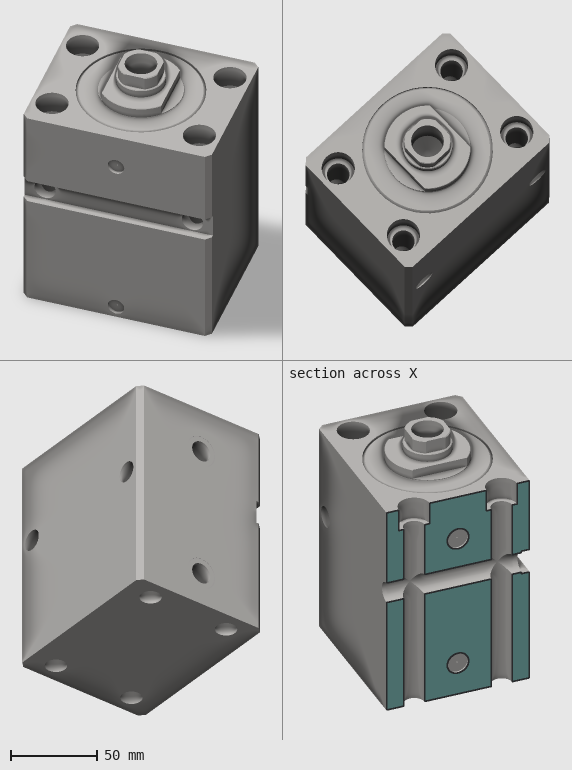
import cadquery as cq

TOTAL_HEIGHT = 154.9
BLOCK_X = 115.0
BLOCK_Y = 90.0
BLOCK_Z = 134.8
CORNER_CHAMFER = 3.3

MOUNT_SPACING_X = 90.0
MOUNT_SPACING_Y = 55.0
MOUNT_DIAMETER = 13.0
MOUNT_BORE_DIAMETER = 19.2
MOUNT_BORE_DEPTH = 14.0

SLOT_WIDTH = 15.0
SLOT_DEPTH = 5.0
SLOT_Z = 80.1
CROSS_HOLE_DIAMETER = 13.0

SIDE_PORT_LEVELS = (21.2, 106.0)
SIDE_PORT_DIAMETER = 13.2
SIDE_PORT_DEPTH = 14.0
SPOTFACE_DIAMETER = 20.0
SPOTFACE_DEPTH = 0.2

FRONT_PORT_LEVELS = (7.5, 112.8)
FRONT_PORT_DIAMETER = 10.0
FRONT_PORT_DEPTH = 2.0

PASSAGE_DIAMETER = 1.0
PASSAGE_LENGTH = 3.1

GLAND_DIAMETER = 75.6
GLAND_DEPTH = 31.0
GLAND_CHAMFER = 1.5
LIP_HEIGHT = 0.5

ROD_DIAMETER = 49.9
COLLAR_BASE_HEIGHT = 1.0
COLLAR_TOP_Z = 141.6
COLLAR_FLATS_WIDTH = 36.2
COLLAR_CHAMFER = 0.3
NECK_DIAMETER = 28.8
NECK_TOP_Z = 146.7
NECK_CHAMFER = 0.5
HEAD_DIAMETER = 27.0
HEAD_SQUARE = 24.0
HEAD_CHAMFER = 0.5
ROD_BORE_DIAMETER = 18.9
ROD_BORE_DEPTH = 23.2
DRILL_TIP_HEIGHT = 5.4


def cylinder_z(diameter, bottom, top):
    """Upright cylinder on the Z axis between two heights."""
    return cq.Workplane("XY", origin=(0, 0, bottom)).circle(diameter / 2).extrude(top - bottom)


def port(face_plane, levels, diameter, depth):
    """Flat-bottomed ports, each with a fine oil passage; the plane's normal points out of the block."""
    centres = [(0, level) for level in levels]
    bores = face_plane.pushPoints(centres).circle(diameter / 2).extrude(-depth)
    passages = face_plane.pushPoints(centres).circle(PASSAGE_DIAMETER / 2).extrude(-depth - PASSAGE_LENGTH)
    return bores.union(passages)


def make_housing():
    block = cq.Workplane("XY").box(BLOCK_X, BLOCK_Y, BLOCK_Z, centered=(True, True, False))
    block = block.edges("|Z").chamfer(CORNER_CHAMFER)

    block = (
        block.faces(">Z").workplane(origin=(0, 0, BLOCK_Z))
        .rarray(MOUNT_SPACING_X, MOUNT_SPACING_Y, 2, 2)
        .cboreHole(MOUNT_DIAMETER, MOUNT_BORE_DIAMETER, MOUNT_BORE_DEPTH)
    )

    front_face = cq.Workplane("XZ", origin=(0, -BLOCK_Y / 2, 0))
    slot = front_face.center(0, SLOT_Z).rect(BLOCK_X, SLOT_WIDTH).extrude(-SLOT_DEPTH)
    cross_holes = (
        front_face.center(0, SLOT_Z)
        .rarray(MOUNT_SPACING_X, 1.5, 2, 1)
        .circle(CROSS_HOLE_DIAMETER / 2)
        .extrude(-BLOCK_Y)
    )
    block = block.cut(slot).cut(cross_holes)

    side_face = cq.Workplane(cq.Plane(origin=(-BLOCK_X / 2, 0, 0), xDir=(0, -1, 0), normal=(-1, 0, 0)))
    spotfaces = (
        side_face.pushPoints([(0, level) for level in SIDE_PORT_LEVELS])
        .circle(SPOTFACE_DIAMETER / 2)
        .extrude(-SPOTFACE_DEPTH)
    )
    block = block.cut(spotfaces)
    block = block.cut(port(side_face, SIDE_PORT_LEVELS, SIDE_PORT_DIAMETER, SIDE_PORT_DEPTH))
    block = block.cut(port(front_face, FRONT_PORT_LEVELS, FRONT_PORT_DIAMETER, FRONT_PORT_DEPTH))

    return block.cut(cylinder_z(GLAND_DIAMETER, BLOCK_Z - GLAND_DEPTH, BLOCK_Z))


def make_gland():
    ring = cylinder_z(GLAND_DIAMETER, BLOCK_Z - GLAND_DEPTH, BLOCK_Z).faces(">Z").chamfer(GLAND_CHAMFER)
    lip_base = cq.Workplane("XY", origin=(0, 0, BLOCK_Z)).circle(ROD_DIAMETER / 2 + LIP_HEIGHT)
    lip = lip_base.extrude(LIP_HEIGHT, taper=45)
    return ring.union(lip).cut(cylinder_z(ROD_DIAMETER, BLOCK_Z - GLAND_DEPTH, BLOCK_Z + LIP_HEIGHT))


def make_rod():
    rod = cylinder_z(ROD_DIAMETER, BLOCK_Z - GLAND_DEPTH, COLLAR_TOP_Z).faces(">Z").chamfer(COLLAR_CHAMFER)
    flats_bottom = BLOCK_Z + COLLAR_BASE_HEIGHT
    between_flats = cq.Workplane("XY", origin=(0, 0, flats_bottom)).rect(COLLAR_FLATS_WIDTH, ROD_DIAMETER)
    around_flats = cylinder_z(2 * ROD_DIAMETER, flats_bottom, COLLAR_TOP_Z)
    rod = rod.cut(around_flats.cut(between_flats.extrude(COLLAR_TOP_Z - flats_bottom)))

    neck = cylinder_z(NECK_DIAMETER, COLLAR_TOP_Z, NECK_TOP_Z).faces(">Z").chamfer(NECK_CHAMFER)
    head = cylinder_z(HEAD_DIAMETER, NECK_TOP_Z, TOTAL_HEIGHT).faces(">Z").chamfer(HEAD_CHAMFER)
    square = cq.Workplane("XY", origin=(0, 0, NECK_TOP_Z)).rect(HEAD_SQUARE, HEAD_SQUARE)
    head = head.intersect(square.extrude(TOTAL_HEIGHT - NECK_TOP_Z))
    rod = rod.union(neck).union(head)

    bore_radius = ROD_BORE_DIAMETER / 2
    bore_bottom = TOTAL_HEIGHT - ROD_BORE_DEPTH
    bore = (
        cq.Workplane("XZ")
        .moveTo(0, TOTAL_HEIGHT)
        .lineTo(bore_radius, TOTAL_HEIGHT)
        .lineTo(bore_radius, bore_bottom)
        .lineTo(0, bore_bottom - DRILL_TIP_HEIGHT)
        .close()
        .revolve(360, (0, 0, 0), (0, 1, 0))
    )
    return rod.cut(bore)


housing = make_housing()
gland = make_gland()
rod = make_rod()

result = cq.Compound.makeCompound([housing.val(), gland.val(), rod.val()])